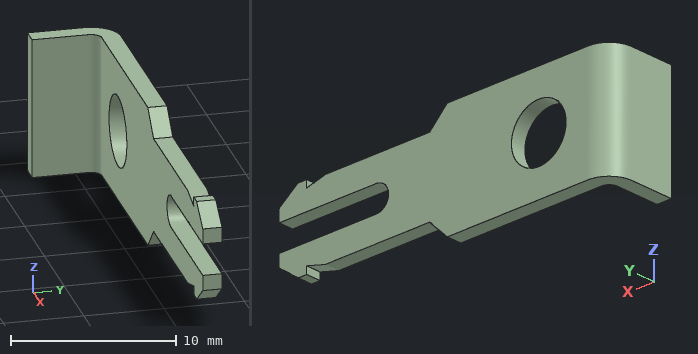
import cadquery as cq

length = 27.5
flange_depth = 5.4
width = 9.0
thickness = 1.2
inner_bend_radius = 0.65
outer_bend_radius = inner_bend_radius + thickness

hole_diameter = 4.5
hole_x = 5.97

shoulder_start_x = 13.55
shoulder_end_x = 15.02
tongue_half_width = 3.02

relief_start_x = 23.65
hook_start_x = 25.2
hook_flat_end_x = 25.93
relief_half_width = 2.6
hook_half_width = 3.2
tip_half_width = 2.0

slot_width = 2.04
slot_start_x = 18.42


def rounded_block(offset, corner_radius):
    """Block with a rounded corner, offset inwards from the outer faces X = 0 and Y = 0."""
    return (
        cq.Workplane("XY")
        .box(length, flange_depth, width, centered=(False, False, True))
        .edges("|Z and <X and >Y")
        .fillet(corner_radius)
        .translate((offset, -flange_depth - offset, 0))
    )


def bent_strip():
    """L-shaped strip of constant thickness with a concentric bend."""
    outer = rounded_block(0, outer_bend_radius)
    inner = rounded_block(thickness, inner_bend_radius)
    return outer.cut(inner)


def face_outline():
    """Silhouette of the strip seen square to the plate, symmetric about Z = 0."""
    upper_edge = [
        (0, width / 2),
        (shoulder_start_x, width / 2),
        (shoulder_end_x, tongue_half_width),
        (relief_start_x, tongue_half_width),
        (hook_start_x, relief_half_width),
        (hook_start_x, hook_half_width),
        (hook_flat_end_x, hook_half_width),
        (length, tip_half_width),
    ]
    lower_edge = [(x, -z) for x, z in reversed(upper_edge)]
    return cq.Workplane("XZ").polyline(upper_edge + lower_edge).close().extrude(flange_depth)


def hole_cutter():
    return cq.Workplane("XZ").center(hole_x, 0).circle(hole_diameter / 2).extrude(flange_depth)


def slot_cutter():
    """Slot with a full-round closed end, open at the tongue tip."""
    radius = slot_width / 2
    arc_center_x = slot_start_x + radius
    return (
        cq.Workplane("XZ")
        .moveTo(length, radius)
        .lineTo(arc_center_x, radius)
        .threePointArc((slot_start_x, 0), (arc_center_x, -radius))
        .lineTo(length, -radius)
        .close()
        .extrude(flange_depth)
    )


result = bent_strip().intersect(face_outline()).cut(hole_cutter()).cut(slot_cutter())